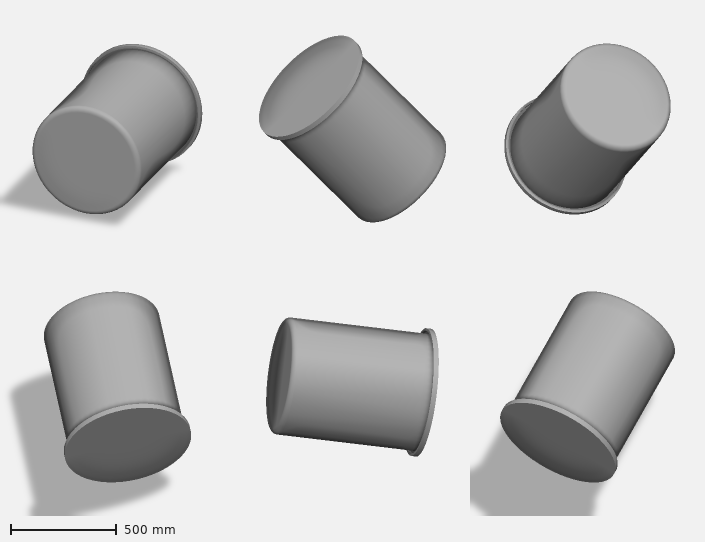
import cadquery as cq

length = 705.0
flange_diameter = 610.0
flange_thickness = 25.0
lip_inner_diameter = 585.0
body_diameter = 558.0
base_radius = 25.0
flange_web = 13.0

base_y = -length / 2
rim_y = length / 2
flange_y = rim_y - flange_thickness


def cylinder_along_y(diameter, start_y, end_y):
    disc = cq.Workplane("XZ", origin=(0, start_y, 0)).circle(diameter / 2)
    return disc.extrude(start_y - end_y)


body = cylinder_along_y(body_diameter, base_y, rim_y).faces("<Y").edges().fillet(base_radius)

flange = cylinder_along_y(flange_diameter, flange_y, rim_y)
recess = cylinder_along_y(lip_inner_diameter, flange_y, rim_y - flange_web)

result = flange.cut(recess).union(body)